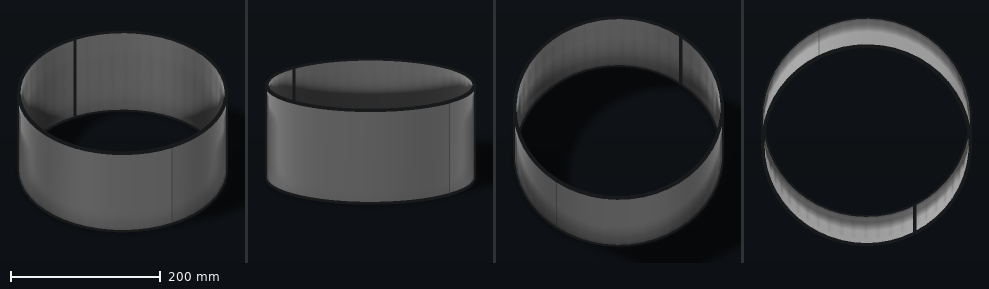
import cadquery as cq

outer_radius = 140.0
wall = 2.5
height = 130.0

rim_height = 2.0
rim_inset = 0.7
inner_chamfer = 0.5

slit_width = 2.5
slit_depth = 3 * wall

inner_radius = outer_radius - wall


def make_band():
    """Revolve the wall section, bevelled at both rims, about Z."""
    half_height = height / 2
    outer_shoulder = half_height - rim_height
    inner_shoulder = half_height - inner_chamfer
    rim_outer_radius = outer_radius - rim_inset
    rim_inner_radius = inner_radius + inner_chamfer
    section = [
        (inner_radius, -inner_shoulder),
        (rim_inner_radius, -half_height),
        (rim_outer_radius, -half_height),
        (outer_radius, -outer_shoulder),
        (outer_radius, outer_shoulder),
        (rim_outer_radius, half_height),
        (rim_inner_radius, half_height),
        (inner_radius, inner_shoulder),
    ]
    return cq.Workplane("XZ").polyline(section).close().revolve(360, (0, 0), (0, 1))


def make_slit():
    """Full-height cutter that opens the band on the -X side."""
    return (
        cq.Workplane("XY")
        .box(slit_depth, slit_width, 2 * height, centered=(True, False, True))
        .translate((-outer_radius, 0, 0))
    )


result = make_band().cut(make_slit())